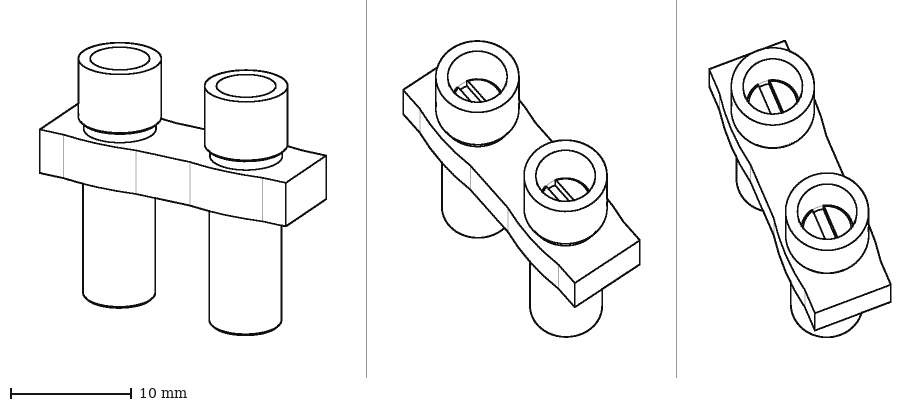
import cadquery as cq

overall_height = 21.2

plate_length = 23.4
plate_width = 6.79
plate_thickness = 3.9
bulge_span = 6.9
bulge_width = 7.4
sleeve_pitch = 12.0

shaft_length = 11.0
shaft_diameter = 6.0
shaft_shift = -0.07
shaft_tip_chamfer = 0.2
shaft_root_chamfer = 0.12

neck_diameter = 6.0
neck_height = 0.87
head_diameter = 6.88
head_height = overall_height - shaft_length - plate_thickness - neck_height
head_chamfer = 0.2

mouth_diameter = 4.91
bore_depth = 4.0
bore_diameter = 4.3
screw_chamfer = 0.16
slot_width = 1.0
slot_depth = 1.0

head_bottom = plate_thickness + neck_height
head_top = head_bottom + head_height
bore_bottom = head_top - bore_depth
screw_top = bore_bottom + screw_chamfer


def make_bulge(x):
    """Full-width slice of the plate whose two long sides bow outwards."""
    half_width = plate_width / 2
    crest = bulge_width / 2
    start = x - bulge_span / 2
    end = x + bulge_span / 2
    return (
        cq.Workplane("XY")
        .moveTo(start, -half_width)
        .threePointArc((x, -crest), (end, -half_width))
        .lineTo(end, half_width)
        .threePointArc((x, crest), (start, half_width))
        .close()
        .extrude(plate_thickness)
    )


def cylinder(x, bottom, top, diameter):
    base = cq.Workplane("XY", origin=(x, 0, bottom))
    return base.circle(diameter / 2).extrude(top - bottom)


def make_shaft(x):
    shaft = cylinder(x, -shaft_length, 0, shaft_diameter)
    shaft = shaft.faces("<Z").chamfer(shaft_tip_chamfer)
    return shaft.faces(">Z").chamfer(shaft_root_chamfer)


def make_sleeve(x):
    neck = cylinder(x, plate_thickness, head_bottom, neck_diameter)
    head = cylinder(x, head_bottom, head_top, head_diameter)
    return neck.union(head.faces("<Z").chamfer(head_chamfer))


def make_bore(x):
    """Empty space in a sleeve: tapered bore, screw chamfer and slot."""
    bore_radius = bore_diameter / 2
    slot_bottom = screw_top - slot_depth
    profile = (
        cq.Workplane("XZ", origin=(x, 0, 0))
        .moveTo(0, head_top)
        .lineTo(mouth_diameter / 2, head_top)
        .lineTo(bore_radius, bore_bottom)
        .lineTo(bore_radius - screw_chamfer, screw_top)
        .lineTo(0, screw_top)
        .close()
    )
    bore = profile.revolve(360, (0, 0), (0, 1))
    slot_bar = (
        cq.Workplane("XY", origin=(x, 0, slot_bottom))
        .rect(bore_diameter, slot_width)
        .extrude(slot_depth)
    )
    slot = cylinder(x, slot_bottom, screw_top, bore_diameter).intersect(slot_bar)
    return bore.union(slot)


result = cq.Workplane("XY").rect(plate_length, plate_width).extrude(plate_thickness)
for sleeve_x in (-sleeve_pitch / 2, sleeve_pitch / 2):
    result = result.union(make_bulge(sleeve_x))
    result = result.union(make_shaft(sleeve_x + shaft_shift))
    result = result.union(make_sleeve(sleeve_x))
    result = result.cut(make_bore(sleeve_x))